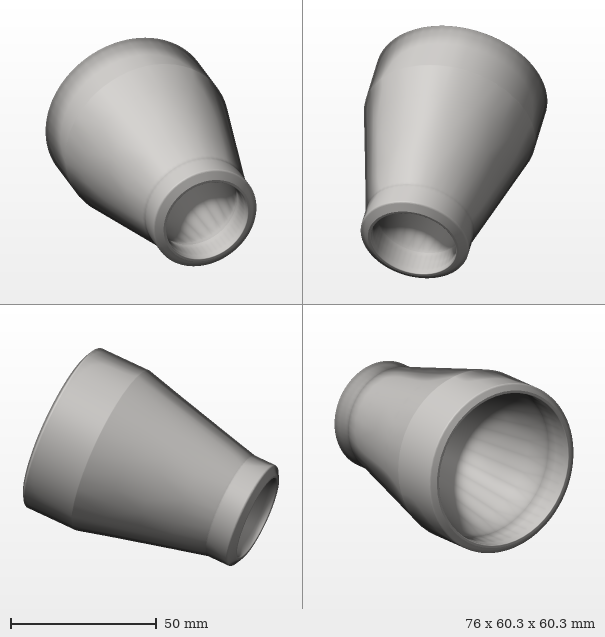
import cadquery as cq
import math

total_length = 76.0
large_outer_radius = 60.3 / 2
large_bore_radius = 53.9 / 2
small_outer_radius = 38.0 / 2
small_bore_radius = 30.0 / 2
large_collar_length = 20.0
small_collar_length = 10.0
large_bore_depth = 12.0

land_width = 1.0
bevel_angle = math.radians(30.0)
bevel_round_radius = 0.9
bore_edge_radius = 0.3

blend_radius = 1.0

cone_start = large_collar_length
cone_end = total_length - small_collar_length


def revolve_profile(points):
    """Revolve a closed outline of (x, radius) points about the X axis."""
    return cq.Workplane("XZ").polyline(points).close().revolve(360.0, (0, 0, 0), (1, 0, 0))


def bevel_length(outer_radius, bore_radius):
    """Length along X of the weld bevel outside the root land."""
    return (outer_radius - bore_radius - land_width) * math.tan(bevel_angle)


def round_edge(body, x, edge_radius, round_radius):
    """Round the circular edge of the given radius that lies at x."""
    tolerance = 0.01

    def matches(edge):
        if edge.geomType() != "CIRCLE":
            return False
        at_x = abs(edge.Center().x - x) < tolerance
        same_radius = abs(edge.radius() - edge_radius) < tolerance
        return at_x and same_radius

    edges = [edge for edge in body.edges().vals() if matches(edge)]
    return body.newObject(edges).fillet(round_radius)


large_bevel_end = bevel_length(large_outer_radius, large_bore_radius)
small_bevel_start = total_length - bevel_length(small_outer_radius, small_bore_radius)

wall_profile = [
    (0, large_bore_radius),
    (0, large_bore_radius + land_width),
    (large_bevel_end, large_outer_radius),
    (cone_start, large_outer_radius),
    (cone_end, small_outer_radius),
    (small_bevel_start, small_outer_radius),
    (total_length, small_bore_radius + land_width),
    (total_length, small_bore_radius),
    (cone_end, small_bore_radius),
    (large_bore_depth, large_bore_radius),
]
reducer = revolve_profile(wall_profile)

rounded_edges = [
    (0, large_bore_radius, bore_edge_radius),
    (total_length, small_bore_radius, bore_edge_radius),
    (large_bevel_end, large_outer_radius, bevel_round_radius),
    (small_bevel_start, small_outer_radius, bevel_round_radius),
    (cone_start, large_outer_radius, blend_radius),
    (cone_end, small_outer_radius, blend_radius),
]
for x, edge_radius, round_radius in rounded_edges:
    reducer = round_edge(reducer, x, edge_radius, round_radius)

result = reducer